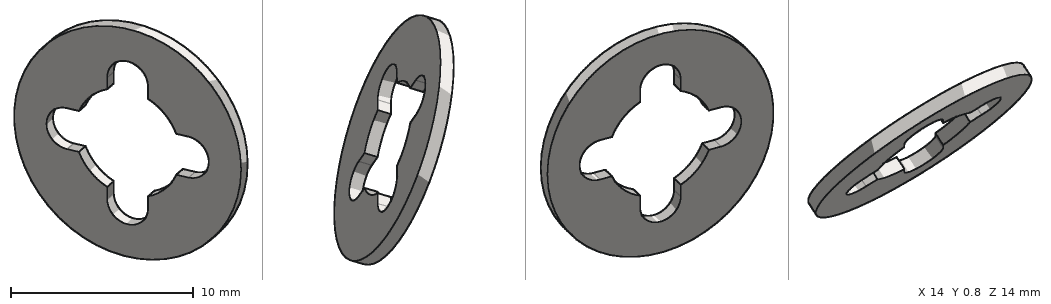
import cadquery as cq

outer_diameter = 14.0
thickness = 0.8
bore_diameter = 6.5
slot_span = 10.0
slot_width = 2.5
slot_angles = (0, 90)


def through_slot(angle):
    """Round-ended slot through the centre, cutting two opposite notches."""
    return (
        cq.Workplane("XZ")
        .slot2D(slot_span, slot_width, angle)
        .extrude(thickness)
    )


washer = (
    cq.Workplane("XZ")
    .circle(outer_diameter / 2)
    .circle(bore_diameter / 2)
    .extrude(thickness)
)

for slot_angle in slot_angles:
    washer = washer.cut(through_slot(slot_angle))

result = washer